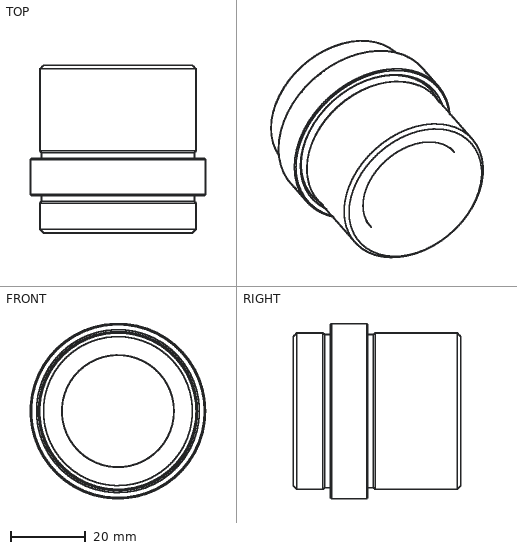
import cadquery as cq

length = 45.0
body_radius = 20.95
bore_radius = 15.0
end_chamfer = 1.0
bore_rounding = 2.0

collar_radius = 23.5
collar_inner_radius = 18.8
collar_front = 10.0
collar_width = 10.0
collar_rear = collar_front + collar_width
collar_chamfer = 0.35

groove_width = 2.0
groove_depth = 0.38
groove_radius = body_radius - groove_depth
groove_wall_run = 0.5
root_radius = 0.75
undercut_depth = 0.5
undercut_inner_radius = groove_radius + root_radius
undercut_outer_radius = undercut_inner_radius + undercut_depth


def make_body():
    """Cylinder with chamfered ends and a bore with rounded mouths."""
    body = cq.Workplane("XZ").circle(body_radius).extrude(-length)
    body = body.faces("<Y or >Y").chamfer(end_chamfer)
    body = body.faces("<Y").workplane(origin=(0, 0, 0)).circle(bore_radius).cutThruAll()
    return body.edges(cq.selectors.RadiusNthSelector(0)).fillet(bore_rounding)


def make_collar():
    """Ring that overlaps the body, with both outer edges chamfered."""
    plane = cq.Workplane("XZ", origin=(0, collar_front, 0))
    collar = plane.circle(collar_radius).extrude(-collar_width)
    collar = collar.faces("<Y or >Y").chamfer(collar_chamfer)
    core = plane.circle(collar_inner_radius).extrude(-collar_width)
    return collar.cut(core)


def make_groove(collar_face, direction):
    """Ring to cut beside a collar face; direction is the way along Y from it."""
    undercut_floor = collar_face - direction * undercut_depth
    root_end = undercut_floor + direction * root_radius
    floor_end = collar_face + direction * (groove_width - groove_wall_run)
    groove_end = collar_face + direction * groove_width
    return (
        cq.Workplane("XY")
        .moveTo(undercut_outer_radius, collar_face)
        .lineTo(undercut_inner_radius, undercut_floor)
        .radiusArc((groove_radius, root_end), direction * root_radius)
        .lineTo(groove_radius, floor_end)
        .lineTo(body_radius, groove_end)
        .lineTo(undercut_outer_radius, groove_end)
        .close()
        .revolve(360, (0, 0, 0), (0, 1, 0))
    )


result = make_body().union(make_collar())
result = result.cut(make_groove(collar_front, -1))
result = result.cut(make_groove(collar_rear, 1))